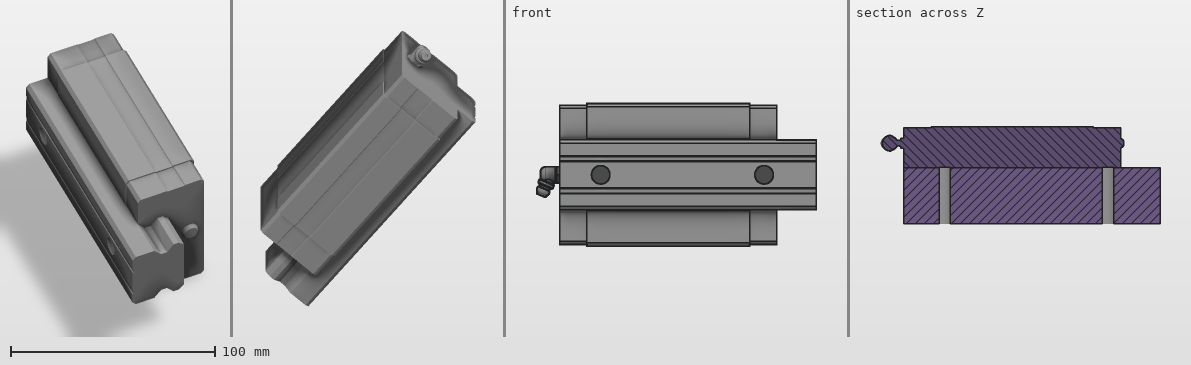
import cadquery as cq
import math


RAIL_LENGTH = 125.7
RAIL_HALF_WIDTH = 17.1
RAIL_HEIGHT = 27.7
BASE_CHAMFER = 1.8
FLANK_TOP = 11.6
BALL_GROOVE_DEPTH = 4.1
BALL_GROOVE_LOW = 15.3
BALL_GROOVE_HIGH = 18.5
RAIL_HEAD_LOW = 22.0
RAIL_HEAD_HIGH = 24.8
RAIL_HEAD_BEVEL = 2.5
BASE_GROOVE_OUTER = 9.3
BASE_GROOVE_INNER = 6.5
RELIEF_DEPTH = 0.4
BOLT_HOLE_DIAMETER = 9.0
BOLT_HOLE_PITCH = 80.0
FIRST_BOLT_HOLE = 20.1

CAP_LENGTH = 13.4
BLOCK_LENGTH = 79.6
BLOCK_HALF_WIDTH = 70.0 / 2
BLOCK_BOTTOM = 11.2
BLOCK_TOP = 48.0
CAP_SIDE_INSET = 0.8
CAP_TOP_INSET = 0.7
CORNER_CHAMFER = 1.6
SIDE_RELIEF_LOW = 15.6
SIDE_RELIEF_HIGH = 25.5
TOP_RELIEF_HALF_WIDTH = 15.5

FITTING_HEIGHT = 39.5
HEX_ACROSS_FLATS = 8.1
HEX_LENGTH = 1.5
BAND_DIAMETER = 8.1
BAND_LENGTH = 0.5
ELBOW_DIAMETER = 8.0
ELBOW_END_DIAMETER = 2.9
ELBOW_REACH = 9.5
ELBOW_ROUND = (ELBOW_DIAMETER - ELBOW_END_DIAMETER) / 2
NIPPLE_TILT = 23.5
NIPPLE_OFFSET = 4.7
STEM_RADIUS = 3.3
COLLAR_RADIUS = 4.0
COLLAR_START = 3.7
COLLAR_END = 6.2
COLLAR_TOP_CHAMFER = 0.4
COLLAR_BOTTOM_CHAMFER = 0.5
NECK_RADIUS = 2.7
NIPPLE_HEAD_START = 7.3
NIPPLE_HEAD_EDGE = 7.5
NIPPLE_HEAD_EDGE_RADIUS = 3.2
NIPPLE_HEAD_WIDEST = 8.1
NIPPLE_HEAD_RADIUS = 3.3
NIPPLE_HEAD_SHOULDER = 10.0
SHOULDER_RADIUS = 2.7
TIP_DISTANCE = 11.1
TIP_RADIUS = 4.5 / 2
GREASE_HOLE_RADIUS = 0.8
GREASE_HOLE_DEPTH = 1.4
PLUG_SPHERE_DIAMETER = 9.0
PLUG_FACE_DIAMETER = 6.7
PLUG_REACH = 2.0

CARRIAGE_LENGTH = BLOCK_LENGTH + 2 * CAP_LENGTH


def mirrored_prism(half_outline, start, length):
    """Prism along X; half_outline is its (Y, Z) outline on the +Z side."""
    other_half = [(y, -z) for y, z in reversed(half_outline)]
    outline = cq.Workplane("YZ", origin=(start, 0, 0)).polyline(half_outline + other_half)
    return outline.close().extrude(length)


def ball_track_outline():
    """Upper rail outline on the +Z side, from the flank's top to the head's top."""
    return [
        (FLANK_TOP, RAIL_HALF_WIDTH),
        (BALL_GROOVE_LOW, RAIL_HALF_WIDTH - BALL_GROOVE_DEPTH),
        (BALL_GROOVE_HIGH, RAIL_HALF_WIDTH - BALL_GROOVE_DEPTH),
        (RAIL_HEAD_LOW, RAIL_HALF_WIDTH),
        (RAIL_HEAD_HIGH, RAIL_HALF_WIDTH),
        (RAIL_HEIGHT, RAIL_HALF_WIDTH - RAIL_HEAD_BEVEL),
    ]


def make_rail():
    """Rail with grooves in its mounting face and through bolt holes."""
    base_outline = [
        (0, BASE_GROOVE_INNER),
        (RELIEF_DEPTH, BASE_GROOVE_INNER + RELIEF_DEPTH),
        (RELIEF_DEPTH, BASE_GROOVE_OUTER - RELIEF_DEPTH),
        (0, BASE_GROOVE_OUTER),
        (0, RAIL_HALF_WIDTH - BASE_CHAMFER),
        (BASE_CHAMFER, RAIL_HALF_WIDTH),
    ]
    rail = mirrored_prism(base_outline + ball_track_outline(), 0, RAIL_LENGTH)
    for x in (FIRST_BOLT_HOLE, FIRST_BOLT_HOLE + BOLT_HOLE_PITCH):
        hole = cq.Workplane("XZ", origin=(x, 0, 0)).circle(BOLT_HOLE_DIAMETER / 2).extrude(-RAIL_HEIGHT)
        rail = rail.cut(hole)
    return rail


def carriage_section(start, length, bottom, top, half_width, top_relief):
    """Chamfered bar with a shallow relief band along each side and optionally its top."""
    relief_low = bottom + SIDE_RELIEF_LOW
    relief_high = bottom + SIDE_RELIEF_HIGH
    outline = [
        (bottom, half_width - CORNER_CHAMFER),
        (bottom + CORNER_CHAMFER, half_width),
        (relief_low, half_width),
        (relief_low + RELIEF_DEPTH, half_width - RELIEF_DEPTH),
        (relief_high - RELIEF_DEPTH, half_width - RELIEF_DEPTH),
        (relief_high, half_width),
        (top - CORNER_CHAMFER, half_width),
        (top, half_width - CORNER_CHAMFER),
    ]
    if top_relief:
        outline += [
            (top, TOP_RELIEF_HALF_WIDTH),
            (top - RELIEF_DEPTH, TOP_RELIEF_HALF_WIDTH - RELIEF_DEPTH),
        ]
    return mirrored_prism(outline, start, length)


def end_cap(start):
    """End cap, set in from the block and with a plain top."""
    return carriage_section(
        start, CAP_LENGTH, FLANK_TOP, BLOCK_TOP - CAP_TOP_INSET, BLOCK_HALF_WIDTH - CAP_SIDE_INSET, False
    )


def rail_slot():
    """Slot that fits the rail; the lower groove slope runs on to the block's underside."""
    groove_slope = BALL_GROOVE_DEPTH / (BALL_GROOVE_LOW - FLANK_TOP)
    mouth_half_width = RAIL_HALF_WIDTH + groove_slope * (FLANK_TOP - BLOCK_BOTTOM)
    return mirrored_prism([(BLOCK_BOTTOM, mouth_half_width)] + ball_track_outline(), 0, CARRIAGE_LENGTH)


def elbow_fitting():
    """Hexagon, band and round-ended elbow on the near cap, pointing toward -X."""
    face = cq.Workplane("YZ", origin=(0, FITTING_HEIGHT, 0))
    hexagon = face.polygon(6, HEX_ACROSS_FLATS / math.cos(math.pi / 6)).extrude(-HEX_LENGTH)
    band = face.circle(BAND_DIAMETER / 2).extrude(-HEX_LENGTH - BAND_LENGTH)
    elbow = face.circle(ELBOW_DIAMETER / 2).extrude(-ELBOW_REACH).faces("<X").edges().fillet(ELBOW_ROUND)
    return hexagon.union(band).union(elbow)


def nipple():
    """Turned nipple leaving the elbow downward, tilted away from the cap."""
    tilt = math.radians(NIPPLE_TILT)
    axis_plane = cq.Plane(
        origin=(-NIPPLE_OFFSET, FITTING_HEIGHT, 0),
        xDir=(math.cos(tilt), 0, -math.sin(tilt)),
        normal=(0, 1, 0),
    )
    half_profile = (
        cq.Workplane(axis_plane)
        .lineTo(STEM_RADIUS, 0)
        .lineTo(STEM_RADIUS, COLLAR_START)
        .lineTo(COLLAR_RADIUS - COLLAR_TOP_CHAMFER, COLLAR_START)
        .lineTo(COLLAR_RADIUS, COLLAR_START + COLLAR_TOP_CHAMFER)
        .lineTo(COLLAR_RADIUS, COLLAR_END - COLLAR_BOTTOM_CHAMFER)
        .lineTo(COLLAR_RADIUS - COLLAR_BOTTOM_CHAMFER, COLLAR_END)
        .lineTo(NECK_RADIUS, COLLAR_END)
        .lineTo(NECK_RADIUS, NIPPLE_HEAD_START)
        .lineTo(NIPPLE_HEAD_EDGE_RADIUS, NIPPLE_HEAD_EDGE)
        .threePointArc((NIPPLE_HEAD_RADIUS, NIPPLE_HEAD_WIDEST), (SHOULDER_RADIUS, NIPPLE_HEAD_SHOULDER))
        .lineTo(TIP_RADIUS, TIP_DISTANCE)
        .lineTo(GREASE_HOLE_RADIUS, TIP_DISTANCE)
        .lineTo(GREASE_HOLE_RADIUS, TIP_DISTANCE - GREASE_HOLE_DEPTH)
        .lineTo(0, TIP_DISTANCE - GREASE_HOLE_DEPTH)
        .close()
    )
    return half_profile.revolve(360, (0, 0), (0, 1))


def plug():
    """Truncated spherical plug on the far cap."""
    sphere_radius = PLUG_SPHERE_DIAMETER / 2
    face_radius = PLUG_FACE_DIAMETER / 2
    center_depth = math.sqrt(sphere_radius**2 - face_radius**2) - PLUG_REACH
    base_radius = math.sqrt(sphere_radius**2 - center_depth**2)
    middle_depth = center_depth + PLUG_REACH / 2
    middle_radius = math.sqrt(sphere_radius**2 - middle_depth**2)
    half_profile = (
        cq.Workplane("XY", origin=(CARRIAGE_LENGTH, FITTING_HEIGHT, 0))
        .lineTo(0, base_radius)
        .threePointArc((PLUG_REACH / 2, middle_radius), (PLUG_REACH, face_radius))
        .lineTo(PLUG_REACH, 0)
        .close()
    )
    return half_profile.revolve(360, (0, 0), (1, 0))


def make_carriage():
    """Block, both end caps, and the grease fitting and plug on them, slotted for the rail."""
    block = carriage_section(CAP_LENGTH, BLOCK_LENGTH, BLOCK_BOTTOM, BLOCK_TOP, BLOCK_HALF_WIDTH, True)
    carriage = block.union(end_cap(0)).union(end_cap(CAP_LENGTH + BLOCK_LENGTH)).cut(rail_slot())
    return carriage.union(elbow_fitting()).union(nipple()).union(plug())


rail = make_rail()
carriage = make_carriage()
result = cq.Compound.makeCompound([rail.val(), carriage.val()])